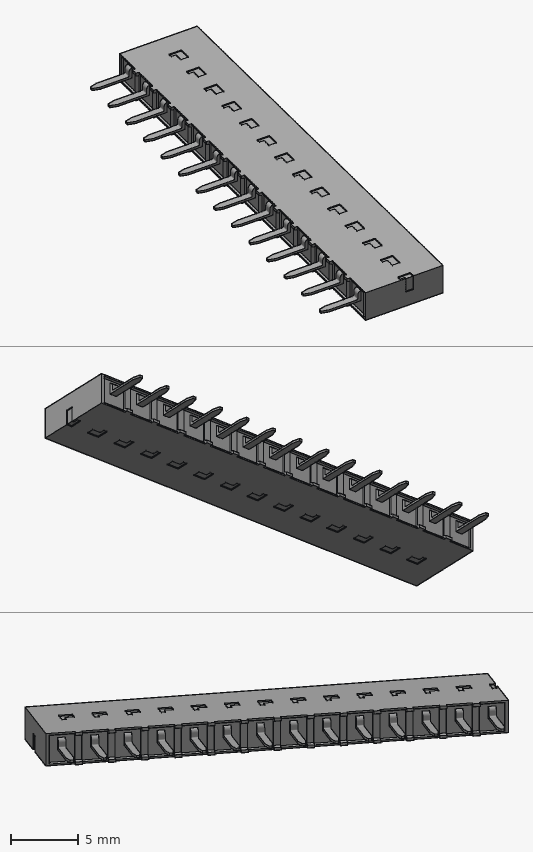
import cadquery as cq

PIN_COUNT = 14
PITCH = 2.54
BODY_LENGTH = 35.48
BODY_DEPTH = 6.75
BODY_HEIGHT = 2.54
TOTAL_DEPTH = 9.96

END_WALL = 0.27
RIB_WIDTH = 0.54
CELL_DEPTH = 0.16
RIM_MOUTH = 0.14
RIM_ROOT = 0.22

STANDOFF_TIP_HEIGHT = 0.23
STANDOFF_ROOT_HEIGHT = 0.33
STANDOFF_PROJECTION = 0.25

PIN_WIDTH = 0.58
PIN_THICKNESS = 0.2
PIN_TIP_WIDTH = 0.25
PIN_TAPER_LENGTH = 0.6
SHOULDER_TOP = 2.12
SHOULDER_PROJECTION = 0.11
SHOULDER_ROUND = 0.33
HEEL_RADIUS = 0.1

POCKET_WIDTH = 1.05
POCKET_HEAD = 0.65
POCKET_LEG_WIDTH = 0.33
POCKET_LEG_END = 1.07
POCKET_DEPTH = 0.1
POCKET_BACK_OFFSET = 2.57

NOTCH_DEPTH = 0.1
NOTCH_HEIGHT = 1.25

X_END = BODY_LENGTH / 2
Z_TOP = BODY_HEIGHT / 2
PIN_TIP_Y = BODY_DEPTH - TOTAL_DEPTH
POCKET_BACK_Y = BODY_DEPTH - POCKET_BACK_OFFSET
PIN_XS = [(i - (PIN_COUNT - 1) / 2) * PITCH for i in range(PIN_COUNT)]
RIB_XS = [x + PITCH / 2 for x in PIN_XS[:-1]]


def box(x0, x1, y0, y1, z0, z1):
    """Box spanning the given limits."""
    return cq.Workplane("XY").box(x1 - x0, y1 - y0, z1 - z0, centered=False).translate((x0, y0, z0))


def side_prism(points, x0, x1):
    """Prism along X, from x0 to x1, on a closed outline of (y, z) points."""
    return cq.Workplane("YZ", origin=(x0, 0, 0)).polyline(points).close().extrude(x1 - x0)


def make_body():
    """Block with a row of cells in its front face; each cell widens in Z toward its mouth."""
    body = box(-X_END, X_END, 0, BODY_DEPTH, -Z_TOP, Z_TOP)
    mouth_z = Z_TOP - RIM_MOUTH
    root_z = Z_TOP - RIM_ROOT
    section = [(0, -mouth_z), (0, mouth_z), (CELL_DEPTH, root_z), (CELL_DEPTH, -root_z)]
    cell_starts = [-X_END + END_WALL] + [x + RIB_WIDTH / 2 for x in RIB_XS]
    cell_ends = [x - RIB_WIDTH / 2 for x in RIB_XS] + [X_END - END_WALL]
    for start, end in zip(cell_starts, cell_ends):
        body = body.cut(side_prism(section, start, end))
    return body


def add_standoffs(body):
    """Small feet on the rib ends, flush with the top and bottom faces and thinner toward their tips."""
    upper_section = [
        (0, Z_TOP),
        (-STANDOFF_PROJECTION, Z_TOP),
        (-STANDOFF_PROJECTION, Z_TOP - STANDOFF_TIP_HEIGHT),
        (0, Z_TOP - STANDOFF_ROOT_HEIGHT),
    ]
    lower_section = [(y, -z) for y, z in upper_section]
    for x in RIB_XS:
        for section in (upper_section, lower_section):
            body = body.union(side_prism(section, x - RIB_WIDTH / 2, x + RIB_WIDTH / 2))
    return body


def make_top_pockets():
    """Row of L-shaped pockets in the top face; the last one runs out through the +X end, into a notch."""
    left = -POCKET_WIDTH / 2
    outline = (
        cq.Workplane("XY", origin=(0, POCKET_BACK_Y, Z_TOP - POCKET_DEPTH))
        .moveTo(left, 0)
        .lineTo(left + POCKET_WIDTH, 0)
        .lineTo(left + POCKET_WIDTH, -POCKET_HEAD)
        .lineTo(left + POCKET_LEG_WIDTH, -POCKET_HEAD)
        .lineTo(left + POCKET_LEG_WIDTH, -POCKET_LEG_END)
        .lineTo(left, -POCKET_LEG_END)
        .close()
    )
    pocket = outline.extrude(POCKET_DEPTH)
    cutter = box(
        X_END - NOTCH_DEPTH, X_END, POCKET_BACK_Y - POCKET_HEAD, POCKET_BACK_Y, Z_TOP - NOTCH_HEIGHT, Z_TOP
    )
    for x in PIN_XS:
        cutter = cutter.union(pocket.translate((x + PITCH / 2, 0, 0)))
    return cutter


def make_pin():
    """Flat pin with a tapered tip; its rounded shoulder is rooted behind the cell floor. Centred on X = 0."""
    shoulder_top_z = SHOULDER_TOP - Z_TOP
    shoulder_y = -SHOULDER_PROJECTION
    root_y = shoulder_y + SHOULDER_ROUND
    lead_top_z = PIN_THICKNESS / 2
    profile = (
        cq.Workplane("YZ", origin=(-PIN_WIDTH / 2, 0, 0))
        .moveTo(root_y, -lead_top_z)
        .lineTo(PIN_TIP_Y, -lead_top_z)
        .lineTo(PIN_TIP_Y, lead_top_z)
        .lineTo(shoulder_y - HEEL_RADIUS, lead_top_z)
        .radiusArc((shoulder_y, lead_top_z + HEEL_RADIUS), -HEEL_RADIUS)
        .lineTo(shoulder_y, shoulder_top_z - SHOULDER_ROUND)
        .radiusArc((root_y, shoulder_top_z), SHOULDER_ROUND)
        .close()
        .extrude(PIN_WIDTH)
    )
    plan = (
        cq.Workplane("XY", origin=(0, 0, -Z_TOP))
        .moveTo(-PIN_WIDTH / 2, root_y)
        .lineTo(-PIN_WIDTH / 2, PIN_TIP_Y + PIN_TAPER_LENGTH)
        .lineTo(-PIN_TIP_WIDTH / 2, PIN_TIP_Y)
        .lineTo(PIN_TIP_WIDTH / 2, PIN_TIP_Y)
        .lineTo(PIN_WIDTH / 2, PIN_TIP_Y + PIN_TAPER_LENGTH)
        .lineTo(PIN_WIDTH / 2, root_y)
        .close()
        .extrude(BODY_HEIGHT)
    )
    return profile.intersect(plan)


result = add_standoffs(make_body())

top_pockets = make_top_pockets()
bottom_pockets = top_pockets.rotate((0, 0, 0), (0, 1, 0), 180)
result = result.cut(top_pockets).cut(bottom_pockets)

pin = make_pin()
for pin_x in PIN_XS:
    result = result.union(pin.translate((pin_x, 0, 0)))